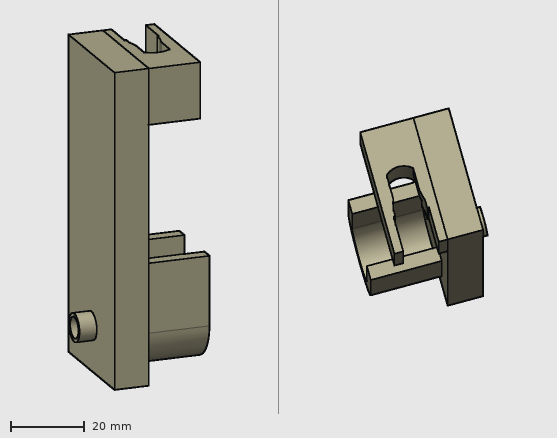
import cadquery as cq

plate_width = 35.0
plate_thickness = 10.0
plate_height = 91.0
center_x = plate_width / 2

axis_height = 13.0
holder_depth = 20.0
holder_inner_radius = 7.5
holder_wall = 4.0
holder_outer_radius = holder_inner_radius + holder_wall
holder_arm_height = 20.0

tube_length = 5.0
tube_outer_diameter = 8.1
tube_bore_diameter = 6.1
tube_bore_depth = tube_length

clip_depth = 15.0
clip_height = 16.2
clip_bottom = plate_height - clip_height
clip_center_y = clip_depth / 2

mouth_end_x = 10.0
mouth_half_width = 5.0
step_end_x = 12.0
step_half_width = 4.5
neck_start_x = 15.0
neck_half_width = 3.75

seat_radius = 5.5
seat_height = 8.0


def u_profile(radius):
    """U-shaped outline in the plate's back plane: two straight sides and a half circle below the axis."""
    arm_top = axis_height + holder_arm_height
    return (
        cq.Workplane("XZ")
        .moveTo(center_x - radius, arm_top)
        .lineTo(center_x - radius, axis_height)
        .threePointArc((center_x, axis_height - radius), (center_x + radius, axis_height))
        .lineTo(center_x + radius, arm_top)
        .close()
    )


def make_holder():
    """U-shaped holder, open at the top and at the rear."""
    outer = u_profile(holder_outer_radius).extrude(-holder_depth)
    inner = u_profile(holder_inner_radius).extrude(-holder_depth)
    return outer.cut(inner)


def make_base():
    """Plate with the holder on its back and the blind tube on its front."""
    plate = cq.Workplane("XY").box(plate_width, plate_thickness, plate_height, centered=False)
    plate = plate.translate((0, -plate_thickness, 0))
    front_face = cq.Workplane("XZ", origin=(center_x, -plate_thickness, axis_height))
    tube = front_face.circle(tube_outer_diameter / 2).extrude(tube_length)
    bore = (
        front_face.workplane(offset=tube_length)
        .circle(tube_bore_diameter / 2)
        .extrude(-tube_bore_depth)
    )
    return plate.union(make_holder()).union(tube).cut(bore)


def make_throat():
    """Full-height slot from the open side to the seat axis, symmetric about the clip's middle plane."""
    side = [
        (0, mouth_half_width),
        (mouth_end_x, mouth_half_width),
        (mouth_end_x, step_half_width),
        (step_end_x, step_half_width),
        (neck_start_x, neck_half_width),
        (center_x, neck_half_width),
    ]
    mirrored_side = [(x, -y) for x, y in reversed(side)]
    return (
        cq.Workplane("XY", origin=(0, clip_center_y, clip_bottom))
        .polyline(side + mirrored_side)
        .close()
        .extrude(clip_height)
    )


def make_seat():
    """Round pocket, full circle at the bottom and trimmed to the neck width above."""
    seat_plane = cq.Workplane("XY", origin=(center_x, clip_center_y, clip_bottom))
    round_pocket = seat_plane.circle(seat_radius).extrude(clip_height)
    upper_cheeks = (
        seat_plane.workplane(offset=seat_height)
        .rect(2 * clip_depth, clip_depth)
        .rect(2 * clip_depth, 2 * neck_half_width)
        .extrude(clip_height)
    )
    return round_pocket.cut(upper_cheeks)


def make_clip():
    """Clip block with the throat and the seat cut out of it."""
    block = (
        cq.Workplane("XY")
        .box(plate_width, clip_depth, clip_height, centered=False)
        .translate((0, 0, clip_bottom))
    )
    return block.cut(make_seat().union(make_throat()))


base = make_base()
clip = make_clip()

result = cq.Compound.makeCompound([base.val(), clip.val()])